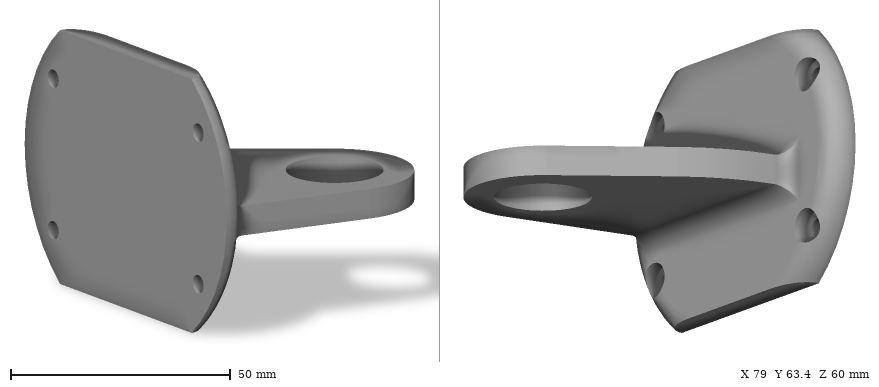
import cadquery as cq
import math

disc_radius = 39.5
plate_height = 60.0
plate_thickness = 6.0
rim_radius = 6.0

screw_radial_distance = 33.5
screw_height = 17.9
screw_diameter = 4.3
counterbore_diameter = 8.0
counterbore_depth = 3.5

lug_thickness = 7.0
lug_mid_z = -3.9
eye_x = 18.5
lug_reach = 63.41
eye_hole_diameter = 22.3
eye_wall = 7.0
root_fillet = 4.0
short_side_angle = math.radians(9.2)
long_side_angle = math.radians(35.3)
long_side_length = 30.0
foot_curve_radius = 48.0

screw_x = math.sqrt(screw_radial_distance**2 - screw_height**2)
eye_radius = eye_hole_diameter / 2 + eye_wall
eye_y = lug_reach - eye_radius
lug_foot_y = plate_thickness / 2


def disc():
    """Plain disc with its axis along Y."""
    return cq.Workplane("XZ").circle(disc_radius).extrude(-plate_thickness)


def lug():
    """Arm outline: eye arc, a straight side, and a side that curves in to the foot."""
    eye_top = (eye_x, lug_reach)

    short_tangent = (
        eye_x + eye_radius * math.cos(short_side_angle),
        eye_y - eye_radius * math.sin(short_side_angle),
    )
    short_drop = short_tangent[1] - lug_foot_y
    short_foot = (short_tangent[0] - short_drop * math.tan(short_side_angle), lug_foot_y)

    long_tangent = (
        eye_x - eye_radius * math.cos(long_side_angle),
        eye_y + eye_radius * math.sin(long_side_angle),
    )
    curve_start = (
        long_tangent[0] - long_side_length * math.sin(long_side_angle),
        long_tangent[1] - long_side_length * math.cos(long_side_angle),
    )
    curve_center = (
        curve_start[0] + foot_curve_radius * math.cos(long_side_angle),
        curve_start[1] - foot_curve_radius * math.sin(long_side_angle),
    )

    def on_foot_curve(y):
        rise = y - curve_center[1]
        return (curve_center[0] - math.sqrt(foot_curve_radius**2 - rise**2), y)

    curve_mid = on_foot_curve((curve_start[1] + lug_foot_y) / 2)
    curve_foot = on_foot_curve(lug_foot_y)

    return (
        cq.Workplane("XY")
        .workplane(offset=lug_mid_z - lug_thickness / 2)
        .moveTo(*short_foot)
        .lineTo(*short_tangent)
        .threePointArc(eye_top, long_tangent)
        .lineTo(*curve_start)
        .threePointArc(curve_mid, curve_foot)
        .close()
        .moveTo(eye_x, eye_y)
        .circle(eye_hole_diameter / 2)
        .extrude(lug_thickness)
    )


def fillet_lug_root(body):
    """Round the corner where the lug meets the front face of the plate."""
    edge_margin = 0.1
    root_zone = cq.selectors.BoxSelector(
        (-disc_radius, plate_thickness - edge_margin, lug_mid_z - lug_thickness),
        (disc_radius, plate_thickness + edge_margin, lug_mid_z + lug_thickness),
    )
    return body.edges(root_zone).edges("%LINE").fillet(root_fillet)


def rim_cutter():
    """Ring that rounds the front edge of the disc and trims the toe of the root fillet there."""
    arc_center = (disc_radius - rim_radius, plate_thickness - rim_radius)
    diagonal = rim_radius * math.sqrt(0.5)
    ring_top = plate_thickness + root_fillet
    ring_outer_radius = disc_radius + rim_radius
    return (
        cq.Workplane("XY")
        .moveTo(disc_radius, arc_center[1])
        .threePointArc(
            (arc_center[0] + diagonal, arc_center[1] + diagonal),
            (arc_center[0], plate_thickness),
        )
        .lineTo(arc_center[0], ring_top)
        .lineTo(ring_outer_radius, ring_top)
        .lineTo(ring_outer_radius, arc_center[1])
        .close()
        .revolve(360, (0, 0, 0), (0, 1, 0))
    )


def clip_flats(body):
    """Cut the disc down to the plate height."""
    envelope = cq.Workplane("XY").box(2 * disc_radius, 2 * lug_reach, plate_height)
    return body.intersect(envelope)


def screw_cutters():
    """Four through holes, each with a counterbore sunk from the front face."""
    positions = [(sx * screw_x, sz * screw_height) for sx in (-1, 1) for sz in (-1, 1)]
    holes = (
        cq.Workplane("XZ")
        .pushPoints(positions)
        .circle(screw_diameter / 2)
        .extrude(-plate_thickness)
    )
    counterbores = (
        cq.Workplane("XZ", origin=(0, plate_thickness, 0))
        .pushPoints(positions)
        .circle(counterbore_diameter / 2)
        .extrude(counterbore_depth)
    )
    return holes.union(counterbores)


part = disc().union(lug())
part = fillet_lug_root(part)
part = part.cut(rim_cutter())
part = clip_flats(part)
result = part.cut(screw_cutters())